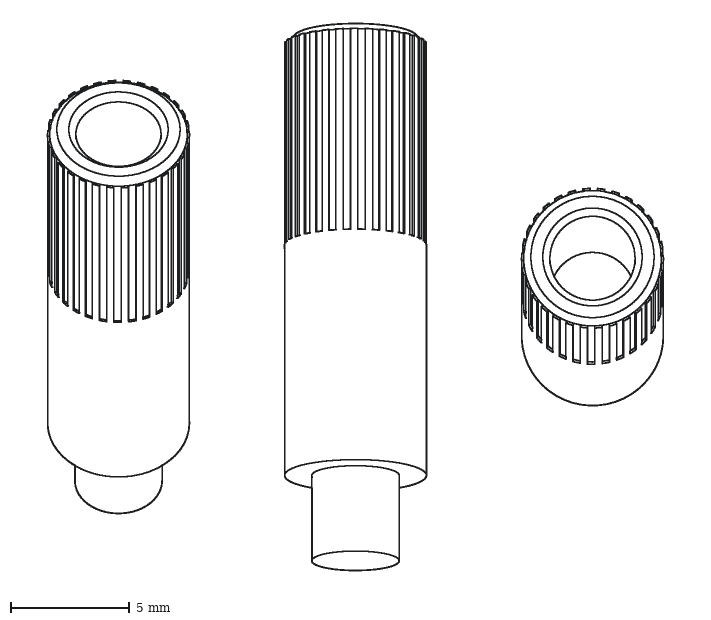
import cadquery as cq
import math

spigot_length = 3.7
body_length = 10.0
knurl_length = 8.7
chamfer = 0.3

spigot_diameter = 3.7
body_diameter = 6.0
knurl_root_diameter = 5.81
bore_diameter = 3.6

groove_count = 30
groove_pitch = 360 / groove_count
groove_width = body_diameter * math.sin(math.radians(groove_pitch / 4))

bore_depth = 9.0

body_bottom = spigot_length
knurl_bottom = body_bottom + body_length
knurl_top = knurl_bottom + knurl_length
part_top = knurl_top + chamfer


def cylinder(diameter, bottom, top):
    return cq.Workplane("XY").workplane(offset=bottom).circle(diameter / 2).extrude(top - bottom)


def make_pin():
    """Spigot, plain body, and the core at the knurl root diameter with a chamfered top edge."""
    spigot = cylinder(spigot_diameter, 0, body_bottom)
    body = cylinder(body_diameter, body_bottom, knurl_bottom)
    core = cylinder(knurl_root_diameter, knurl_bottom, part_top)
    core = core.faces(">Z").chamfer(chamfer)
    return spigot.union(body).union(core)


def make_knurl():
    """Sleeve split into ridges by grooves, the first groove being centred on +X."""
    sleeve = cylinder(body_diameter, knurl_bottom, knurl_top)
    cutters = (
        cq.Workplane("XY")
        .workplane(offset=knurl_bottom)
        .polarArray(body_diameter / 2, 0, 360, groove_count)
        .rect(body_diameter / 2, groove_width)
        .extrude(knurl_length)
    )
    return sleeve.cut(cutters)


def cut_bore(part):
    """Blind bore from the top with a chamfered mouth."""
    bore = cylinder(bore_diameter, part_top - bore_depth, part_top)
    part = part.cut(bore)
    return part.faces(">Z").edges(cq.selectors.RadiusNthSelector(0)).chamfer(chamfer)


result = cut_bore(make_pin().union(make_knurl()))